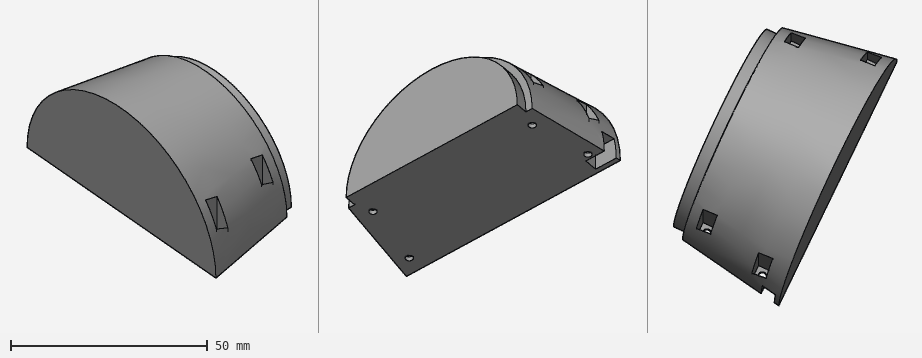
import cadquery as cq

front_radius = 35.0
back_radius = 30.0
body_length = 29.5
collar_radius = 28.0
collar_length = 3.5

pocket_width = 4.0
pocket_floor = 1.4
hole_diameter = 2.1
back_screw_x = 26.05
back_screw_y = 24.5
front_screw_x = 30.0
left_front_screw_y = 7.0
right_front_screw_y = 5.0
screw_positions = [
    (-back_screw_x, back_screw_y),
    (back_screw_x, back_screw_y),
    (-front_screw_x, left_front_screw_y),
    (front_screw_x, right_front_screw_y),
]

slot_start_y = 1.4
slot_width = 4.0
slot_height = 7.0
slot_inner_x = -front_screw_x + pocket_width / 2


def half_drum():
    """Tapered body and collar, revolved half a turn about the Y axis."""
    total_length = body_length + collar_length
    profile = (
        cq.Workplane("XY")
        .moveTo(0, 0)
        .lineTo(front_radius, 0)
        .lineTo(back_radius, body_length)
        .lineTo(collar_radius, body_length)
        .lineTo(collar_radius, total_length)
        .lineTo(0, total_length)
        .close()
    )
    return profile.revolve(180, (0, 0, 0), (0, -1, 0))


def screw_pockets():
    """Square wells and their through holes, as one cutting shape."""
    wells = (
        cq.Workplane("XY", origin=(0, 0, pocket_floor))
        .pushPoints(screw_positions)
        .rect(pocket_width, pocket_width)
        .extrude(front_radius)
    )
    holes = cq.Workplane("XY").pushPoints(screw_positions).circle(hole_diameter / 2).extrude(front_radius)
    return wells.union(holes)


def side_slot():
    """Rectangular slot entering from the left side at the base."""
    slot_depth = front_radius + slot_inner_x
    return (
        cq.Workplane("XY")
        .box(slot_depth, slot_width, slot_height, centered=False)
        .translate((-front_radius, slot_start_y, 0))
    )


result = half_drum().cut(screw_pockets()).cut(side_slot())